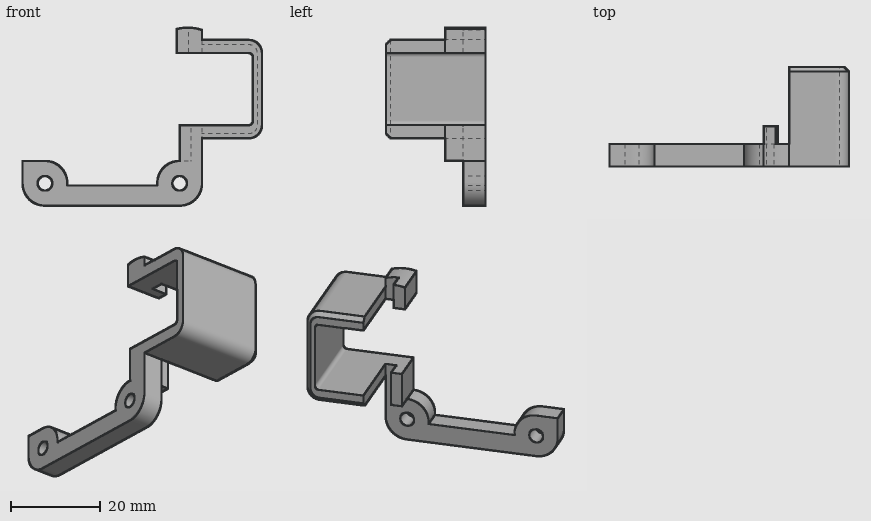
import cadquery as cq

length = 53.35
total_height = 39.7
arm_depth = 5.0
tab_depth = 9.0
channel_depth = 22.2

lug_radius = 5.0
hole_diameter = 3.2
hole_spacing = 30.0
arm_thickness = 4.55
left_hole_x = lug_radius
right_hole_x = left_hole_x + hole_spacing
post_right = right_hole_x + lug_radius
lug_top = 2 * lug_radius

channel_bottom = 15.0
channel_top = 36.95
flange_thickness = 3.0
web_thickness = 2.1
outer_radius = 3.0
inner_radius = 0.9
rear_chamfer = 1.05
channel_floor = channel_bottom + flange_thickness
channel_ceiling = channel_top - flange_thickness

lip_left = 34.3
lip_left_height = 39.35
lip_right_height = 39.15
lip_peak_x = 36.95
upper_tab_width = 2.6
lower_tab_width = 2.5


def box(x_min, x_max, depth, z_min, z_max):
    """Block from the front face back to the given depth."""
    size = (x_max - x_min, depth, z_max - z_min)
    return cq.Workplane("XY").box(*size, centered=False).translate((x_min, 0, z_min))


def disc(x, radius):
    """Cylinder through the arm, level with the hole centres."""
    return (
        cq.Workplane("XZ", origin=(x, 0, lug_radius))
        .circle(radius)
        .extrude(-arm_depth)
    )


def make_arm():
    """Bottom bar with a round lug at each end and a post up to the channel."""
    arm = box(left_hole_x, right_hole_x, arm_depth, 0, arm_thickness)
    arm = arm.union(box(0, left_hole_x, arm_depth, lug_radius, lug_top))
    arm = arm.union(box(right_hole_x, post_right, arm_depth, lug_radius, channel_floor))
    hole_positions = (left_hole_x, right_hole_x)
    for x in hole_positions:
        arm = arm.union(disc(x, lug_radius))
    for x in hole_positions:
        arm = arm.cut(disc(x, hole_diameter / 2))
    return arm


def make_channel():
    """Rounded C-channel with its outer rear edges chamfered."""
    outer = box(post_right, length, channel_depth, channel_bottom, channel_top)
    outer = outer.edges("|Y and >X").fillet(outer_radius)
    rear_edges = outer.faces(">Y").edges("not(<X)")
    outer = rear_edges.chamfer(rear_chamfer)
    inner = box(post_right, length - web_thickness, channel_depth, channel_floor, channel_ceiling)
    inner = inner.edges("|Y and >X").fillet(inner_radius)
    return outer.cut(inner)


def make_lip():
    """Crowned lip on the free end of the upper flange."""
    return (
        cq.Workplane("XZ")
        .moveTo(lip_left, channel_ceiling)
        .lineTo(post_right, channel_ceiling)
        .lineTo(post_right, lip_right_height)
        .threePointArc((lip_peak_x, total_height), (lip_left, lip_left_height))
        .close()
        .extrude(-tab_depth)
    )


lip_relief = box(
    lip_left + upper_tab_width, post_right, tab_depth - arm_depth, channel_ceiling, total_height
).translate((0, arm_depth, 0))
lip = make_lip().cut(lip_relief)
lower_tab = box(right_hole_x, right_hole_x + lower_tab_width, tab_depth, lug_top, channel_floor)

result = make_arm().union(make_channel()).union(lip).union(lower_tab)